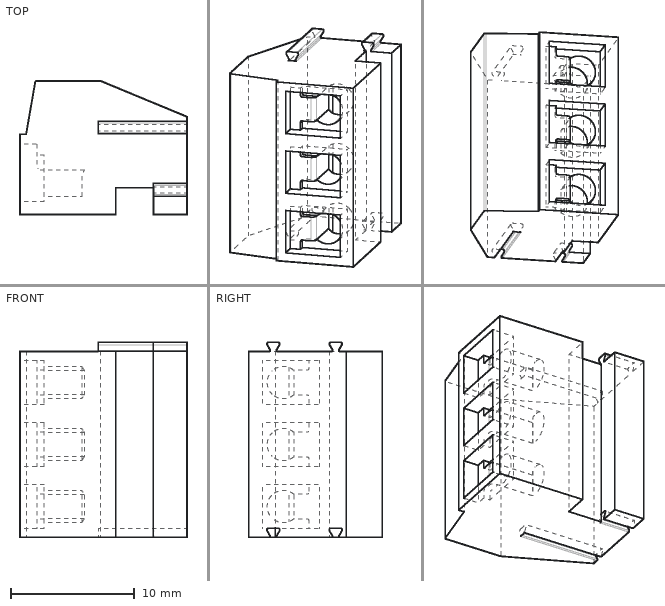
import cadquery as cq
import math


LENGTH = 13.5
WIDTH = 10.8
HEIGHT = 15.0
LEDGE_Y = 6.5
LEDGE_DEPTH = 0.5
SLANT_TOP_X = 1.25
SLANT_TIP_RADIUS = 0.15
BEVEL_START_X = 6.5
BEVEL_END_Y = 7.9

SLOT_START_X = 7.75
FOOT_START_X = 10.78
SLOT_DEPTH = 2.15

RAIL_HEIGHT = 0.74
RAIL_NECK_HALF = 0.2
RAIL_FLANK_ANGLE = math.radians(30)
RAIL_TOP_RADIUS = 0.15
RAIL_FOOT_RADIUS = 0.07
MAIN_RAIL_START_X = 6.32
MAIN_RAIL_Y = 7.03
FOOT_RAIL_Y = 2.0
RAILS = [(MAIN_RAIL_START_X, MAIN_RAIL_Y), (FOOT_START_X, FOOT_RAIL_Y)]

POLE_COUNT = 3
POLE_PITCH = HEIGHT / POLE_COUNT
POCKET_HEIGHT = 3.55
POCKET_MIN_Y = 1.1
POCKET_MAX_Y = 5.7
POCKET_DEPTH = 1.92

PAD_DEPTH = 1.35
PAD_ARM_Y = 4.85
PAD_END_Y = 3.63
PAD_STEM_HEIGHT = 2.0
PAD_CORNER_RADIUS = 0.15
PAD_END_RADIUS = 0.37

HOLE_Y = 2.78
HOLE_RADIUS = 1.3
HOLE_DEPTH = 5.0
RAMP_START_Y = 3.23
RAMP_ANGLE = math.radians(25)
RAMP_DROP = (PAD_END_Y - RAMP_START_Y) * math.tan(RAMP_ANGLE)


def point_on_arc(center, radius, angle):
    return (center[0] + radius * math.cos(angle), center[1] + radius * math.sin(angle))


def box_between(low, high):
    size = [b - a for a, b in zip(low, high)]
    return cq.Workplane("XY").box(*size, centered=False).translate(low)


def make_housing():
    outline = [
        (0, 0),
        (SLOT_START_X, 0),
        (SLOT_START_X, SLOT_DEPTH),
        (FOOT_START_X, SLOT_DEPTH),
        (FOOT_START_X, 0),
        (LENGTH, 0),
        (LENGTH, BEVEL_END_Y),
        (BEVEL_START_X, WIDTH),
        (SLANT_TOP_X, WIDTH),
        (LEDGE_DEPTH, LEDGE_Y),
        (0, LEDGE_Y),
    ]
    housing = cq.Workplane("XY").polyline(outline).close().extrude(HEIGHT)
    slant_tip = cq.selectors.NearestToPointSelector((SLANT_TOP_X, WIDTH, HEIGHT / 2))
    return housing.edges(slant_tip).fillet(SLANT_TIP_RADIUS)


def make_rail(start_x, y, base_z):
    """Dovetail rail running to the +X face, with rounded top edges and flared feet."""
    angle = RAIL_FLANK_ANGLE
    foot_x = RAIL_NECK_HALF + RAIL_FOOT_RADIUS * (1 + math.sin(angle)) / math.cos(angle)
    foot_center = (foot_x, RAIL_FOOT_RADIUS)
    top_center_z = RAIL_HEIGHT - RAIL_TOP_RADIUS
    flank_run = (top_center_z * math.sin(angle) - RAIL_TOP_RADIUS) / math.cos(angle)
    top_center = (RAIL_NECK_HALF + flank_run, top_center_z)

    foot_mid = point_on_arc(foot_center, RAIL_FOOT_RADIUS, math.radians(225) - angle / 2)
    foot_end = point_on_arc(foot_center, RAIL_FOOT_RADIUS, math.pi - angle)
    top_start = point_on_arc(top_center, RAIL_TOP_RADIUS, -angle)
    top_mid = point_on_arc(top_center, RAIL_TOP_RADIUS, math.radians(45) - angle / 2)
    top_end = (top_center[0], RAIL_HEIGHT)

    def mirrored(point):
        return (-point[0], point[1])

    profile = (
        cq.Workplane("YZ", origin=(start_x, y, base_z))
        .moveTo(-foot_x, 0)
        .lineTo(foot_x, 0)
        .threePointArc(foot_mid, foot_end)
        .lineTo(*top_start)
        .threePointArc(top_mid, top_end)
        .lineTo(*mirrored(top_end))
        .threePointArc(mirrored(top_mid), mirrored(top_start))
        .lineTo(*mirrored(foot_end))
        .threePointArc(mirrored(foot_mid), (-foot_x, 0))
        .close()
    )
    return profile.extrude(LENGTH - start_x)


def make_pad(center_z):
    """T-shaped pad: full-height arms along +Y and a rounded stem reaching past the pocket floor."""
    half_pocket = POCKET_HEIGHT / 2
    half_stem = PAD_STEM_HEIGHT / 2
    arms = box_between(
        (PAD_DEPTH, PAD_ARM_Y, center_z - half_pocket),
        (POCKET_DEPTH, POCKET_MAX_Y, center_z + half_pocket),
    )
    stem = box_between(
        (PAD_DEPTH, PAD_END_Y, center_z - half_stem),
        (HOLE_DEPTH + RAMP_DROP, POCKET_MAX_Y, center_z + half_stem),
    )
    stem_end = cq.selectors.NearestToPointSelector((PAD_DEPTH, PAD_END_Y, center_z))
    pad = arms.union(stem.edges(stem_end).fillet(PAD_END_RADIUS))
    for side in (-1, 1):
        corner = (
            (PAD_DEPTH + POCKET_DEPTH) / 2,
            PAD_ARM_Y,
            center_z + side * half_stem,
        )
        pad = pad.edges(cq.selectors.NearestToPointSelector(corner)).fillet(PAD_CORNER_RADIUS)
    return pad


def make_hole(center_z):
    """Round hole ending at the pad stem, its bottom sloping deeper next to the stem."""
    bottom = [
        (0, HOLE_Y - HOLE_RADIUS),
        (HOLE_DEPTH, HOLE_Y - HOLE_RADIUS),
        (HOLE_DEPTH, RAMP_START_Y),
        (HOLE_DEPTH + RAMP_DROP, PAD_END_Y),
        (0, PAD_END_Y),
    ]
    envelope = (
        cq.Workplane("XY", origin=(0, 0, center_z))
        .polyline(bottom)
        .close()
        .extrude(HOLE_RADIUS, both=True)
    )
    bore = (
        cq.Workplane("YZ", origin=(0, HOLE_Y, center_z))
        .circle(HOLE_RADIUS)
        .extrude(HOLE_DEPTH + RAMP_DROP)
    )
    return bore.intersect(envelope)


def make_wire_entry(center_z):
    """Volume removed for one pole: pocket and hole, less the pad."""
    pocket = box_between(
        (0, POCKET_MIN_Y, center_z - POCKET_HEIGHT / 2),
        (POCKET_DEPTH, POCKET_MAX_Y, center_z + POCKET_HEIGHT / 2),
    )
    return pocket.union(make_hole(center_z)).cut(make_pad(center_z))


result = make_housing()
for rail_start_x, rail_y in RAILS:
    result = result.cut(make_rail(rail_start_x, rail_y, 0))
    result = result.union(make_rail(rail_start_x, rail_y, HEIGHT))
for pole in range(POLE_COUNT):
    result = result.cut(make_wire_entry((pole + 0.5) * POLE_PITCH))